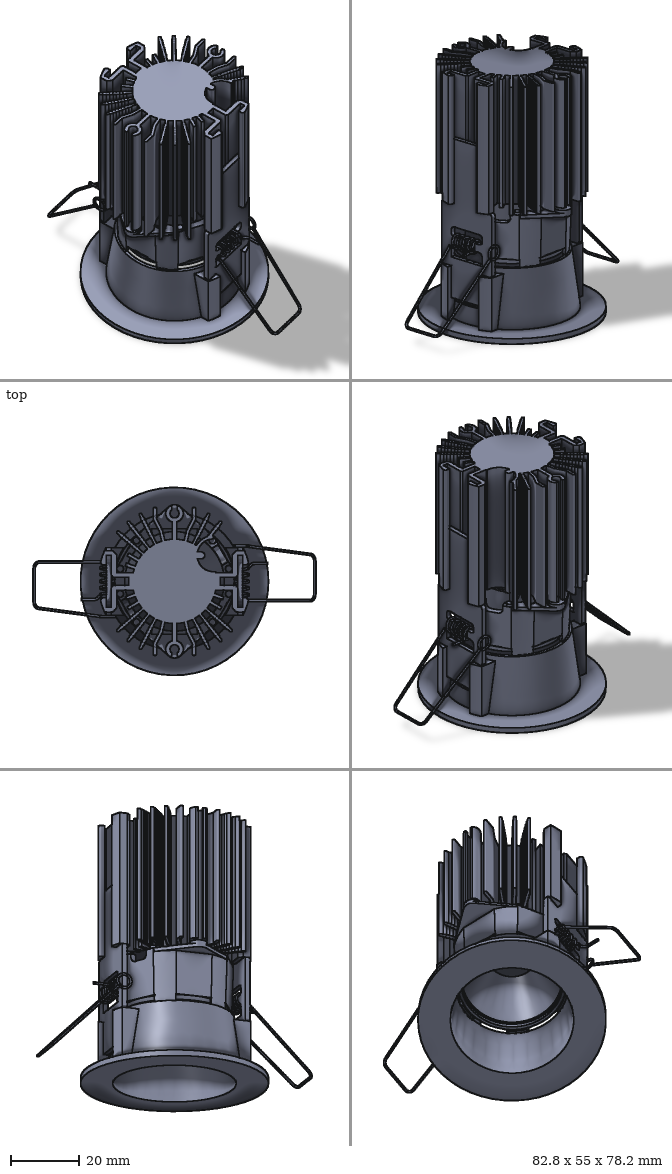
import cadquery as cq
import math

FLANGE_DIAMETER = 55.0
FLANGE_HEIGHT = 1.7
CONE_BASE_RADIUS = 20.0
CONE_TOP_RADIUS = 17.5
CONE_TOP = 20.0
CONE_BASE_WALL = 2.0
CONE_TOP_WALL = 1.0
OUTER_RADIUS = 22.3
EAR_HALF_WIDTH = 9.85
EAR_TOP = 18.4
RECESS_FLOOR = 7.1

HOLDER_TOP = 36.5
HOLDER_TOP_RADIUS = 17.45
HOLDER_BASE_RADIUS = 16.9
HOLDER_TOP_FLAT = 16.55
HOLDER_BASE_FLAT = 16.0
HOLDER_BORE_RADIUS = 14.6
RIM_RADIUS = 15.9
SEAT_HALF_WIDTH = 6.6
SEAT_EDGE = 15.4
PANEL_COUNT = 6
PANEL_ANGLE = 30
PANEL_BOTTOM = 22.25
RIM_BOTTOM = 20.85
LOBE_RADIUS = 2.6
LOBE_OFFSET = 19.85
LOBE_THICKNESS = 1.15
LOBE_CORNER = (11.4, 13.2)
BOSS_HEIGHT = 0.9
BOSS_RADIUS = 1.0
BOSS_CIRCLE_RADIUS = 16.3
BOSS_ANGLES = (13, 47)
NOTCH_WIDTH = 5.8
NOTCH_DEPTH = 2.7
NOTCH_CORNER = 1.5
REFLECTOR_TOP_RADIUS = 8.3
REFLECTOR_WALL = 1.0

PLATE_INNER_X = 18.45
PLATE_THICKNESS = 1.5
PLATE_CORNER = 1.0
PLATE_BOTTOM = 8.4
PLATE_TAIL_HALF_WIDTH = 6.0
TONGUE_HALF_WIDTH = 7.6
TONGUE_CORNER = 2.0
WINDOW_BOTTOM = 21.1
WINDOW_CORNER = 1.2
WINDOW_TOP = 30.7
NUB_HALF_HEIGHT = 1.2
NUB_TIP = 3.15

SINK_BOTTOM = 38.15
SINK_TOP = 78.2
CORE_RADIUS = 12.3
FIN_WIDTH = 1.0
FIN_TIP_RADIUS = 22.25
FIN_ANGLES = (41, 52, 63)
SHORT_FINS = ((19, 15.1), (30, 15.7))
BENT_FIN = ((3.2, 11.6), (4.0, 14.8), (5.7, 18.1), (5.7, 21.2))
RIPPLE_START = 14.1
RIPPLE_PITCH = 1.0
RIPPLE_COUNT = 7
RIPPLE_DEPTH = 0.2
ROOT_OVERLAP = 0.8
STEM_WIDTH = 1.3
SCREW_HOLE_RADIUS = 1.3
SCREW_SLOT_WIDTH = 1.65
SCREW_CHANNEL_END = 21.9
HOOK_TOP = 9.0
HOOK_LIP_END = 4.8
HOOK_LIP_ROUND = 0.8
HOOK_CHAMFER = 1.2
HOOK_INNER_CHAMFER = 0.6
HOOK_WALL = 1.6
ARM_INNER_Y = 1.15
ARM_OUTER_Y = 2.6
ARM_SLOT_END = 13.3
CABLE_HOLE = (11.4, 7.6)
CABLE_HOLE_RADIUS = 4.8
CABLE_WALL = 1.0
KEY_TIP_X = 8.85
KEY_WIDTH = 2.0

WIRE_RADIUS = 0.3
COIL_RADIUS = 2.1
COIL_X = 19.5
COIL_Z = 26.3
COIL_START_Y = -3.9
COIL_TURNS = 4.875
SPRING_REACH = 41.4
FRAME_BAR_Z = 5.2
FRAME_Y = 5.6
FRAME_CORNER_Y = -7.7
EYE_Y = -10.35
FRAME_BEND = 2.0
SHORT_LEG_TIP_X = 27.2
SHORT_LEG_Y = -5.3
JOG_LENGTH = 1.2

PLATE_OUTER_X = PLATE_INNER_X + PLATE_THICKNESS
SIDES = (0, 180)


def on_outer_circle(y):
    """Point of the outer circle at height y, on the +X side."""
    return (math.sqrt(OUTER_RADIUS**2 - y**2), y)


def box(x0, x1, y0, y1, z0, z1):
    return cq.Workplane("XY").box(x1 - x0, y1 - y0, z1 - z0, centered=False).translate((x0, y0, z0))


def about_axis(shape, angle):
    return shape.rotate((0, 0, 0), (0, 0, 1), angle)


def cylinder(radius, z0, z1, x=0.0, y=0.0):
    return cq.Workplane("XY", origin=(x, y, z0)).circle(radius).extrude(z1 - z0)


def flange_and_cone():
    outer = (
        cq.Workplane("XZ")
        .polyline([
            (0, 0),
            (FLANGE_DIAMETER / 2, 0),
            (FLANGE_DIAMETER / 2, FLANGE_HEIGHT),
            (CONE_BASE_RADIUS, FLANGE_HEIGHT),
            (CONE_TOP_RADIUS, CONE_TOP),
            (0, CONE_TOP),
        ])
        .close()
        .revolve(360, (0, 0, 0), (0, 1, 0))
    )
    ears = cylinder(OUTER_RADIUS, FLANGE_HEIGHT, EAR_TOP).intersect(
        box(-OUTER_RADIUS, OUTER_RADIUS, -EAR_HALF_WIDTH, EAR_HALF_WIDTH, 0, EAR_TOP)
    )
    ear_gap = box(
        0, OUTER_RADIUS, -PLATE_TAIL_HALF_WIDTH, PLATE_TAIL_HALF_WIDTH, FLANGE_HEIGHT, EAR_TOP
    )
    recess = box(
        PLATE_INNER_X, OUTER_RADIUS, -PLATE_TAIL_HALF_WIDTH, PLATE_TAIL_HALF_WIDTH, RECESS_FLOOR, CONE_TOP
    )
    for side in SIDES:
        ears = ears.cut(about_axis(ear_gap, side))
    shell = outer.union(ears)
    for side in SIDES:
        shell = shell.cut(about_axis(recess, side))
    bore = (
        cq.Workplane("XY")
        .circle(CONE_BASE_RADIUS - CONE_BASE_WALL)
        .workplane(offset=CONE_TOP)
        .circle(CONE_TOP_RADIUS - CONE_TOP_WALL)
        .loft()
    )
    return shell.cut(bore)


def holder_body():
    height = HOLDER_TOP - CONE_TOP
    round_body = (
        cq.Workplane("XY", origin=(0, 0, CONE_TOP))
        .circle(HOLDER_BASE_RADIUS)
        .workplane(offset=height)
        .circle(HOLDER_TOP_RADIUS)
        .loft()
    )
    across_corners = 2 / math.cos(math.pi / PANEL_COUNT)
    six_flats = (
        cq.Workplane("XY", origin=(0, 0, CONE_TOP))
        .polygon(PANEL_COUNT, HOLDER_BASE_FLAT * across_corners)
        .workplane(offset=height)
        .polygon(PANEL_COUNT, HOLDER_TOP_FLAT * across_corners)
        .loft()
    )
    body = round_body.intersect(six_flats)
    body = body.cut(cylinder(HOLDER_BORE_RADIUS, CONE_TOP, HOLDER_TOP))
    body = body.cut(cylinder(RIM_RADIUS, CONE_TOP, PANEL_BOTTOM))
    half_post = math.sqrt(HOLDER_TOP_RADIUS**2 - HOLDER_TOP_FLAT**2)
    for index in range(PANEL_COUNT):
        opening = box(0, HOLDER_TOP_RADIUS, -half_post, half_post, CONE_TOP, PANEL_BOTTOM)
        body = body.cut(about_axis(opening, PANEL_ANGLE + index * 360 / PANEL_COUNT))
    return body


def lobe_plate():
    """Thin plate that narrows to a round tip, with a boss on the tip."""
    corner_x, corner_y = LOBE_CORNER
    length = math.hypot(corner_x, LOBE_OFFSET - corner_y)
    tilt = math.atan2(LOBE_OFFSET - corner_y, corner_x)
    lean = tilt + math.asin(LOBE_RADIUS / length)
    tangent_x = LOBE_RADIUS * math.sin(lean)
    tangent_y = LOBE_OFFSET + LOBE_RADIUS * math.cos(lean)
    plate = (
        cq.Workplane("XY", origin=(0, 0, HOLDER_TOP - LOBE_THICKNESS))
        .moveTo(corner_x, corner_y)
        .lineTo(tangent_x, tangent_y)
        .threePointArc((0, LOBE_OFFSET + LOBE_RADIUS), (-tangent_x, tangent_y))
        .lineTo(-corner_x, corner_y)
        .close()
        .extrude(LOBE_THICKNESS)
    )
    return plate.union(cylinder(LOBE_RADIUS, HOLDER_TOP, HOLDER_TOP + BOSS_HEIGHT, 0, LOBE_OFFSET))


def small_bosses():
    bosses = []
    for side in SIDES:
        for angle in BOSS_ANGLES:
            for mirrored in (angle, -angle):
                boss = cylinder(BOSS_RADIUS, HOLDER_TOP, HOLDER_TOP + BOSS_HEIGHT, BOSS_CIRCLE_RADIUS)
                bosses.append(about_axis(boss, side + mirrored))
    return bosses


def wire_notch():
    inner_x = math.sqrt(HOLDER_BORE_RADIUS**2 - (NOTCH_WIDTH / 2) ** 2)
    notch = box(
        inner_x, HOLDER_TOP_RADIUS, -NOTCH_WIDTH / 2, NOTCH_WIDTH / 2,
        HOLDER_TOP - NOTCH_DEPTH, HOLDER_TOP,
    )
    return about_axis(notch.edges("|X and <Z").fillet(NOTCH_CORNER), PANEL_ANGLE)


def reflector():
    return (
        cq.Workplane("XZ")
        .polyline([
            (RIM_RADIUS - REFLECTOR_WALL, RIM_BOTTOM),
            (RIM_RADIUS, RIM_BOTTOM),
            (RIM_RADIUS, PANEL_BOTTOM),
            (REFLECTOR_TOP_RADIUS, HOLDER_TOP),
            (REFLECTOR_TOP_RADIUS - REFLECTOR_WALL, HOLDER_TOP),
            (RIM_RADIUS - REFLECTOR_WALL, PANEL_BOTTOM),
        ])
        .close()
        .revolve(360, (0, 0, 0), (0, 1, 0))
    )


def make_housing():
    holder = holder_body()
    for side in SIDES:
        holder = holder.union(about_axis(lobe_plate(), side))
    for boss in small_bosses():
        holder = holder.union(boss)
    for side in SIDES:
        holder = holder.cut(about_axis(wire_notch(), side))
    seat = box(
        -SEAT_HALF_WIDTH, SEAT_HALF_WIDTH, -SEAT_EDGE, SEAT_EDGE, HOLDER_TOP - LOBE_THICKNESS, HOLDER_TOP
    )
    holder = holder.cut(seat)
    return flange_and_cone().union(holder).union(reflector())


def make_side_plate():
    """Plate on the -X side: tail between the ears, wide middle, tongue up into the heat sink."""
    x0, x1 = -PLATE_OUTER_X, -PLATE_INNER_X
    tongue_top = (SINK_BOTTOM + SINK_TOP) / 2
    wide = box(x0, x1, -EAR_HALF_WIDTH, EAR_HALF_WIDTH, EAR_TOP, SINK_BOTTOM)
    wide = wide.edges("|X").fillet(PLATE_CORNER)
    tongue = box(x0, x1, -TONGUE_HALF_WIDTH, TONGUE_HALF_WIDTH, CONE_TOP, tongue_top)
    tongue = tongue.edges("|X and >Z").fillet(TONGUE_CORNER)
    tail = box(x0, x1, -PLATE_TAIL_HALF_WIDTH, PLATE_TAIL_HALF_WIDTH, PLATE_BOTTOM, CONE_TOP)
    return wide.union(tongue).union(tail).cut(coil_window())


def coil_window():
    """Two rounded slots joined in the middle, which leaves a nub at each end for the coil."""
    x0, x1 = -PLATE_OUTER_X, -PLATE_INNER_X
    y = PLATE_TAIL_HALF_WIDTH
    upper = box(x0, x1, -y, y, COIL_Z + NUB_HALF_HEIGHT, WINDOW_TOP)
    lower = box(x0, x1, -y, y, WINDOW_BOTTOM, COIL_Z - NUB_HALF_HEIGHT)
    middle = box(x0, x1, -NUB_TIP, NUB_TIP, WINDOW_BOTTOM, WINDOW_TOP)
    upper = upper.edges("|X").fillet(WINDOW_CORNER)
    lower = lower.edges("|X and >Z").fillet(WINDOW_CORNER)
    return upper.union(lower).union(middle)


def flat_extrusion(profile):
    return profile.extrude(SINK_TOP - SINK_BOTTOM)


def sink_plane():
    return cq.Workplane("XY", origin=(0, 0, SINK_BOTTOM))


def rippled_fin(angle):
    """Radial fin with scalloped flanks and a rounded tip."""
    half = FIN_WIDTH / 2
    valley = half - RIPPLE_DEPTH / 2
    crest = half + RIPPLE_DEPTH / 2
    ripple_end = RIPPLE_START + RIPPLE_COUNT * RIPPLE_PITCH
    tip = FIN_TIP_RADIUS - valley
    fin = sink_plane().moveTo(CORE_RADIUS - ROOT_OVERLAP, -valley).lineTo(RIPPLE_START, -valley)
    for index in range(RIPPLE_COUNT):
        x = RIPPLE_START + index * RIPPLE_PITCH
        fin = fin.threePointArc((x + RIPPLE_PITCH / 2, -crest), (x + RIPPLE_PITCH, -valley))
    fin = fin.lineTo(tip, -valley).threePointArc((FIN_TIP_RADIUS, 0), (tip, valley))
    fin = fin.lineTo(ripple_end, valley)
    for index in range(RIPPLE_COUNT):
        x = ripple_end - index * RIPPLE_PITCH
        fin = fin.threePointArc((x - RIPPLE_PITCH / 2, crest), (x - RIPPLE_PITCH, valley))
    fin = fin.lineTo(CORE_RADIUS - ROOT_OVERLAP, valley).close()
    return about_axis(flat_extrusion(fin), angle)


def short_fin(angle, tip_radius):
    root = CORE_RADIUS - ROOT_OVERLAP
    fin = box(root, tip_radius, -FIN_WIDTH / 2, FIN_WIDTH / 2, SINK_BOTTOM, SINK_TOP)
    return about_axis(fin, angle)


def bent_fin():
    return flat_extrusion(sink_plane().polyline(BENT_FIN).offset2D(FIN_WIDTH / 2))


def screw_channel():
    """Stem on the Y axis that ends in a ring with an open slot."""
    root = CORE_RADIUS - ROOT_OVERLAP
    stem = box(-STEM_WIDTH / 2, STEM_WIDTH / 2, root, LOBE_OFFSET, SINK_BOTTOM, SINK_TOP)
    ring = cylinder(LOBE_RADIUS, SINK_BOTTOM, SINK_TOP, 0, LOBE_OFFSET)
    hole = cylinder(SCREW_HOLE_RADIUS, SINK_BOTTOM, SINK_TOP, 0, LOBE_OFFSET)
    half_slot = SCREW_SLOT_WIDTH / 2
    slot = box(-half_slot, half_slot, LOBE_OFFSET, OUTER_RADIUS + LOBE_RADIUS, SINK_BOTTOM, SINK_TOP)
    flat_end = box(
        -LOBE_RADIUS, LOBE_RADIUS, SCREW_CHANNEL_END, OUTER_RADIUS + LOBE_RADIUS, SINK_BOTTOM, SINK_TOP
    )
    return stem.union(ring).cut(hole).cut(slot).cut(flat_end)


def hook():
    """Half of the channel that holds a plate tongue: arm, wall and lip, on the +X +Y side."""
    wall_x = PLATE_INNER_X - HOOK_WALL
    lip_x, lip_y = on_outer_circle(HOOK_LIP_END + HOOK_LIP_ROUND)
    bend = HOOK_LIP_ROUND * (1 - math.sqrt(0.5))
    profile = (
        sink_plane()
        .moveTo(CORE_RADIUS - ROOT_OVERLAP, 0)
        .lineTo(ARM_SLOT_END, 0)
        .lineTo(ARM_SLOT_END, ARM_INNER_Y)
        .lineTo(PLATE_INNER_X - HOOK_INNER_CHAMFER, ARM_INNER_Y)
        .lineTo(PLATE_INNER_X, ARM_INNER_Y + HOOK_INNER_CHAMFER)
        .lineTo(PLATE_INNER_X, TONGUE_HALF_WIDTH)
        .lineTo(PLATE_OUTER_X, TONGUE_HALF_WIDTH)
        .lineTo(PLATE_OUTER_X, HOOK_LIP_END)
        .lineTo(lip_x - HOOK_LIP_ROUND, HOOK_LIP_END)
        .threePointArc((lip_x - bend, HOOK_LIP_END + bend), (lip_x, lip_y))
        .threePointArc(on_outer_circle((lip_y + HOOK_TOP) / 2), on_outer_circle(HOOK_TOP))
        .lineTo(wall_x + HOOK_CHAMFER, HOOK_TOP)
        .lineTo(wall_x, HOOK_TOP - HOOK_CHAMFER)
        .lineTo(wall_x, ARM_OUTER_Y)
        .lineTo(CORE_RADIUS - ROOT_OVERLAP, ARM_OUTER_Y)
        .close()
    )
    return flat_extrusion(profile)


def cable_cutout():
    """Round cable passage beside the +X arm, with a rounded key left standing in it."""
    x, y = CABLE_HOLE
    passage = cylinder(CABLE_HOLE_RADIUS, SINK_BOTTOM, SINK_TOP, x, y)
    key_end = KEY_TIP_X - KEY_WIDTH / 2
    half_key = KEY_WIDTH / 2
    key = box(x - 2 * CABLE_HOLE_RADIUS, key_end, y - half_key, y + half_key, SINK_BOTTOM, SINK_TOP)
    key = key.union(cylinder(half_key, SINK_BOTTOM, SINK_TOP, key_end, y))
    return passage.cut(key)


def cable_wall():
    """Fills the corner between the cable passage, the core and the fins next to it."""
    x, y = CABLE_HOLE
    radius = CABLE_HOLE_RADIUS + CABLE_WALL
    disc = cylinder(radius, SINK_BOTTOM, SINK_TOP, x, y)
    return disc.intersect(box(x - radius, x, y, y + radius, SINK_BOTTOM, SINK_TOP))


def make_heat_sink():
    open_fins = [rippled_fin(angle) for angle in FIN_ANGLES[1:]] + [bent_fin()]
    closed_fins = [rippled_fin(FIN_ANGLES[0])] + [short_fin(angle, tip) for angle, tip in SHORT_FINS]
    parts = open_fins + [part.mirror("YZ") for part in open_fins + closed_fins]
    parts += [part.mirror("XZ") for part in parts]
    parts += [part.mirror("XZ") for part in closed_fins]

    sink = cylinder(CORE_RADIUS, SINK_BOTTOM, SINK_TOP).union(cable_wall())
    for side in SIDES:
        sink = sink.union(about_axis(hook(), side)).union(about_axis(hook().mirror("XZ"), side))
        sink = sink.union(about_axis(screw_channel(), side))
    for part in parts:
        sink = sink.union(part)
    return sink.cut(cable_cutout())


def wire_along(path):
    start = path.startPoint()
    section = cq.Workplane(cq.Plane(start, normal=path.tangentAt(0))).circle(WIRE_RADIUS)
    return section.sweep(cq.Workplane(path), isFrenet=True)


def bent_wire(direction, points):
    """Wire in the plane of Y and a direction out of the coil axis; points are (reach, y)."""
    dx, dz = direction
    corners = [cq.Vector(-COIL_X + reach * dx, y, COIL_Z + reach * dz) for reach, y in points]
    return wire_along(cq.Wire.makePolygon(corners).fillet(FRAME_BEND))


def make_spring():
    """Spring on the -X side: coil round the nubs, short leg, wide frame and closing eye."""
    length = FRAME_Y - COIL_START_Y
    coil = wire_along(cq.Wire.makeHelix(length / COIL_TURNS, length, COIL_RADIUS))
    coil = coil.rotate((0, 0, 0), (1, 0, 0), -90).rotate((0, 0, 0), (0, 1, 0), 180)
    coil = coil.translate((-COIL_X, COIL_START_Y, COIL_Z))

    short_leg = bent_wire((-1, 0), [
        (COIL_RADIUS - WIRE_RADIUS / 2, COIL_START_Y),
        (COIL_RADIUS + JOG_LENGTH, SHORT_LEG_Y),
        (SHORT_LEG_TIP_X - COIL_X, SHORT_LEG_Y),
    ])
    run = SPRING_REACH - WIRE_RADIUS - COIL_X
    drop = COIL_Z - FRAME_BAR_Z
    reach = math.hypot(run, drop)
    frame = bent_wire((-run / reach, -drop / reach), [
        (COIL_RADIUS - WIRE_RADIUS / 2, FRAME_Y),
        (reach, FRAME_Y),
        (reach, FRAME_CORNER_Y),
        (COIL_RADIUS, EYE_Y),
    ])
    eye = cq.Workplane(cq.Solid.makeTorus(
        COIL_RADIUS, WIRE_RADIUS, cq.Vector(-COIL_X, EYE_Y, COIL_Z), cq.Vector(0, 1, 0)
    ))
    return coil.union(short_leg).union(frame).union(eye)


housing = make_housing()
heat_sink = make_heat_sink()
side_plates = [about_axis(make_side_plate(), side) for side in SIDES]
springs = [about_axis(make_spring(), side) for side in SIDES]

result = cq.Compound.makeCompound([
    housing.val(),
    heat_sink.val(),
    *[plate.val() for plate in side_plates],
    *[spring.val() for spring in springs],
])